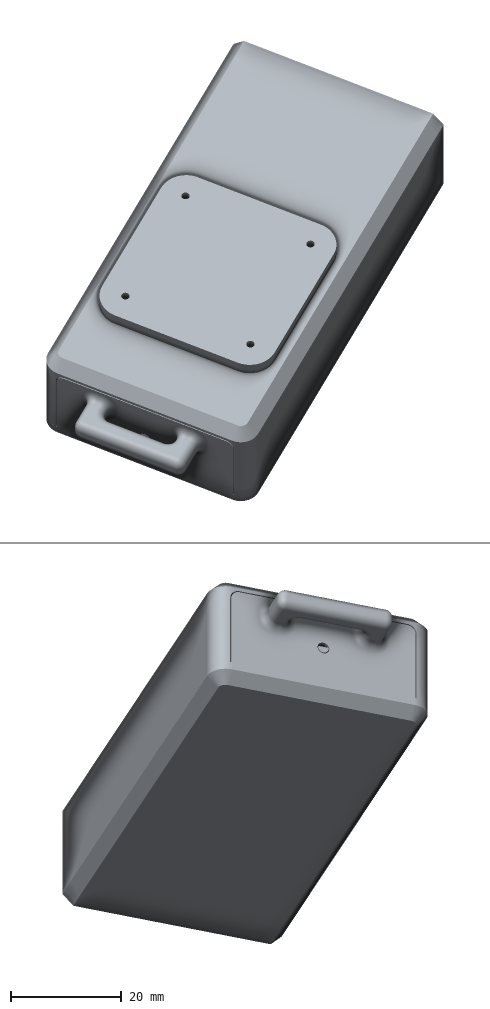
import cadquery as cq

case_width = 42.0
case_height = 21.89
case_chamfer = 2.1
corner_radius = 3.5
front_length = 54.6
rear_length = 26.0

floor_thickness = 3.6
panel_width = 35.3
panel_top = 18.95
panel_thickness = 3.0
panel_corner_radius = 1.6
panel_clearance = 0.2

handle_width = 22.0
handle_reach = 7.32
handle_bar = 4.0
handle_height = 15.0
handle_fillet = 1.5
handle_inner_radius = 1.5
root_margin = 0.01

insert_diameter = 6.0
insert_bore = 2.25
insert_height = 10.5
pin_diameter = 1.9
pin_flat_offset = 0.25

plate_size = 34.5
plate_thickness = 2.5
plate_corner_radius = 5.0
plate_centre_y = 30.4
plate_hole_diameter = 1.5
plate_hole_spacing = 25.0


def box(width, length, height, front_y=0.0, bottom_z=0.0):
    """Box centred on X, with its front face and underside at the given places."""
    return (
        cq.Workplane("XY")
        .box(width, length, height, centered=(True, False, False))
        .translate((0, front_y, bottom_z))
    )


def front_disc(diameter):
    """Cylinder through the panel thickness, on the insert axis."""
    return (
        cq.Workplane("XZ", origin=(0, 0, insert_height))
        .circle(diameter / 2)
        .extrude(-panel_thickness)
    )


def make_front_envelope():
    """Outer shape shared by the base and the housing."""
    return (
        box(case_width, front_length, case_height)
        .edges("|Z and <Y")
        .fillet(corner_radius)
        .faces("<Z or >Z")
        .edges("not >Y")
        .chamfer(case_chamfer)
    )


def make_panel(clearance):
    """Upright panel with rounded top corners, grown by a clearance at its sides and top."""
    return (
        box(
            panel_width + 2 * clearance,
            panel_thickness,
            panel_top + clearance - floor_thickness,
            bottom_z=floor_thickness,
        )
        .edges("|Y and >Z")
        .fillet(panel_corner_radius + clearance)
    )


def make_handle():
    """Square-edged loop handle reaching forward from the front panel."""
    opening_width = handle_width - 2 * handle_bar
    opening_reach = handle_reach - handle_bar
    bottom_z = handle_height - handle_bar / 2
    opening = (
        box(opening_width, opening_reach, handle_bar, -opening_reach, bottom_z)
        .edges("|Z and <Y")
        .fillet(handle_inner_radius)
    )
    return box(handle_width, handle_reach, handle_bar, -handle_reach, bottom_z).cut(opening)


def make_base(envelope):
    """Floor and front panel in one, with the handle rounded over and flared into the panel."""
    floor = envelope.intersect(box(case_width, front_length, floor_thickness))
    panel = make_panel(0.0)
    handle = make_handle().edges("not >Y").fillet(handle_fillet)
    panel_with_handle = panel.union(handle)
    root = cq.selectors.BoxSelector(
        (-handle_width, -root_margin, handle_height - handle_bar / 2 - root_margin),
        (handle_width, root_margin, handle_height + handle_bar / 2 + root_margin),
        boundingbox=True,
    )
    panel_with_handle = panel_with_handle.edges(root).fillet(handle_fillet)
    return floor.union(panel_with_handle).cut(front_disc(insert_diameter))


def make_housing(envelope):
    upper = box(case_width, front_length, case_height - floor_thickness, bottom_z=floor_thickness)
    return envelope.intersect(upper).cut(make_panel(panel_clearance))


def make_rear_block():
    return (
        box(case_width, rear_length, case_height, front_y=front_length)
        .edges("|Y")
        .chamfer(case_chamfer)
    )


def make_plate():
    return (
        box(plate_size, plate_size, plate_thickness, plate_centre_y - plate_size / 2, case_height)
        .edges("|Z")
        .fillet(plate_corner_radius)
        .faces(">Z")
        .workplane(origin=(0, plate_centre_y, 0))
        .rect(plate_hole_spacing, plate_hole_spacing, forConstruction=True)
        .vertices()
        .hole(plate_hole_diameter)
    )


def make_insert():
    return front_disc(insert_diameter).cut(front_disc(insert_bore))


def make_pin():
    """Round pin with a flat along its upper side."""
    flat_z = insert_height + pin_flat_offset
    above_flat = box(pin_diameter, panel_thickness, pin_diameter, bottom_z=flat_z)
    return front_disc(pin_diameter).cut(above_flat)


front_envelope = make_front_envelope()
base = make_base(front_envelope)
housing = make_housing(front_envelope)
rear_block = make_rear_block()
plate = make_plate()
insert = make_insert()
pin = make_pin()

result = cq.Compound.makeCompound(
    [base.val(), housing.val(), rear_block.val(), plate.val(), insert.val(), pin.val()]
)